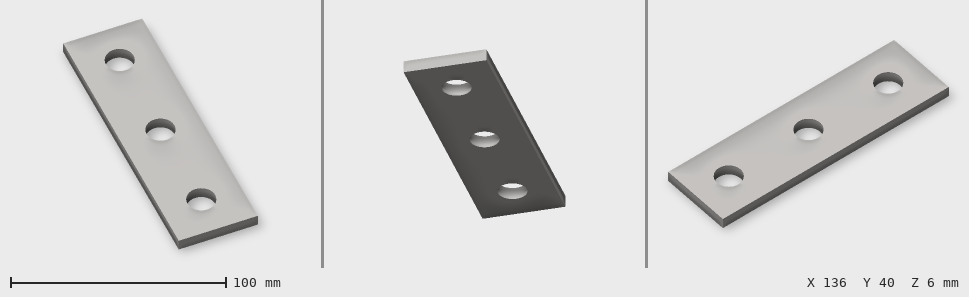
import cadquery as cq

length = 136.0
width = 40.0
thickness = 6.0

hole_count = 3
hole_pitch = 48.0
hole_diameter = 14.0

bar = cq.Workplane("XY").box(length, width, thickness)

result = (
    bar.faces(">Z")
    .workplane()
    .rarray(hole_pitch, width, hole_count, 1)
    .hole(hole_diameter)
)